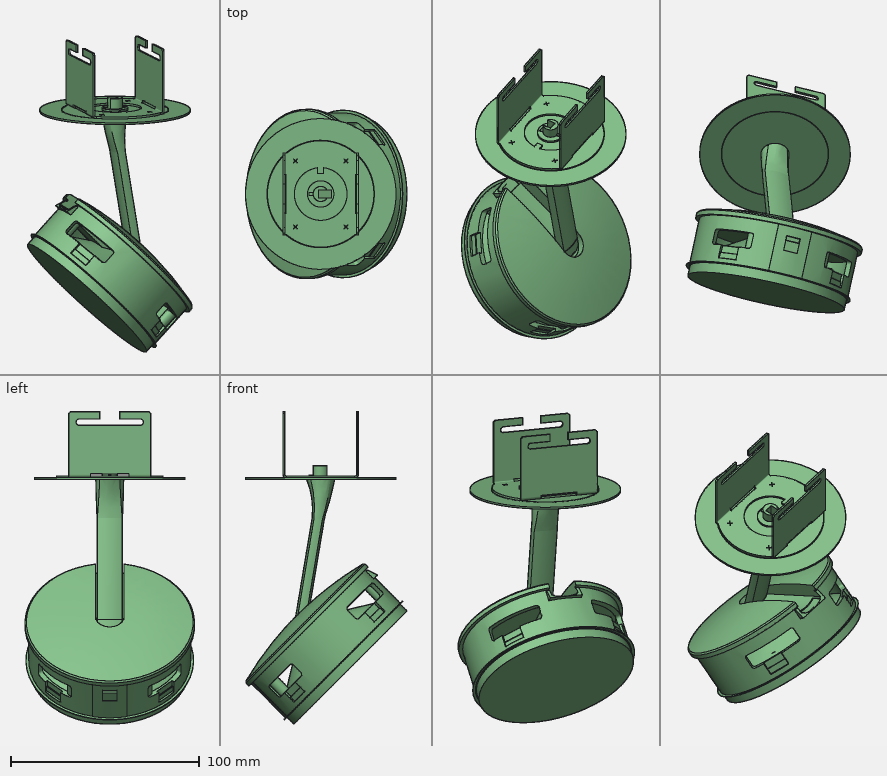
import cadquery as cq
import math

PLATE_DIA = 80.0
PLATE_THICK = 1.0
PLATE_RING_DIA = 57.0
BASE_DIA = 56.5
SHEET = 1.0
BRACKET_WIDTH = 40.0
LEG_WIDTH = 43.5
BRACKET_TOP = 36.0
BEND_RADIUS = 1.5
LEG_CORNER = 1.0
SLOT_HEIGHT = 3.2
SLOT_LENGTH = 35.6
SLOT_BELOW_TOP = 5.5
SLOT_MOUTH = 10.4
BEND_WINDOW = 20.4
BASE_HOLE_DIA = 28.0
KEY_WIDTH = 3.2
KEY_LENGTH = 3.1
MARK_X = 13.4
MARK_Y = 17.5
MARK_LENGTH = 2.8
MARK_WIDTH = 0.15
MARK_DEPTH = 0.2

SWIVEL_DIA = 14.0
BOSS_DIA = 8.0
BOSS_TOP = 7.4
LUG_LENGTH = 6.3
LUG_WIDTH = 1.4
LUG_RISE = 0.5
WIRE_SLOT_WIDTH = 4.4
WIRE_SLOT_LEFT = -1.3
WIRE_SLOT_RIGHT = 5.6
WIRE_SLOT_DEPTH = 8.0

ARM_TILT = 9.5
NECK_DIA = 15.0
NECK_MID_Z = -13.0
NECK_MID_X = -0.2
NECK_MID_CORNER_X = 3.2
NECK_MID_CORNER_Y = 6.0
NECK_MID_HALF_THICK = 4.4
NECK_MID_HALF_WIDTH = 7.1
ARM_START_X = -1.35
ARM_START_Z = -21.0
ARM_LENGTH = 54.4
FOOT_LENGTH = 6.0
FOOT_INSET = 0.3
ARM_HALF_THICK = 3.3
ARM_HALF_WIDTH = 6.8
ARM_CORNER_X = 2.2
ARM_CORNER_Y = 6.6

HEAD_TILT = -45.0
HEAD_X = 15.75
HEAD_Z = -99.71
LIP_RING_DIA = 85.0
BODY_DIA = 86.0
BODY_TOP = 31.1
CAP_DIA = 90.0
CAP_TOP = 34.2
CAP_EDGE = 0.8
DOME_TOP = 39.8
FLANGE_DIA = 89.0
FLANGE_Z = 5.2
FLANGE_THICK = 0.3
CAVITY_DIA = 80.0
CAVITY_FLOOR = 11.0
CAVITY_ROOF = 27.0
CONE_TOP_DIA = 28.0
WEB_BOTTOM = 24.0
PANEL_HALF_WIDTH = 9.2
PANEL_DIA = 86.4
WINDOW_WIDTH = 24.7
WINDOW_EXTENSION = 5.5
WINDOW_BOTTOM = 15.3
WINDOW_TOP = 23.7
WINDOW_CORNER = 1.5
WINDOW_INNER = 33.0
PIN_DIA = 6.0
PIN_RADIUS = 39.0
FRONT_PIN_ANGLE = 15.0
REAR_PIN_ANGLE = 30.0
LATCH_WIDTH = 11.3
LATCH_BOTTOM = 8.2
LATCH_STEP_Z = 11.4
LATCH_FLOOR = 41.1
LATCH_STEP = 0.6
NOTCH_HALF_WIDTH = 3.75
NOTCH_BOTTOM = 18.0
NOTCH_STEP_Z = 23.6
NOTCH_TOP = 26.0
NOTCH_DEPTH = 2.0
NOTCH_STEP_DEPTH = 0.4
CHANNEL_WIDTH = 15.0
CHANNEL_CENTER = -1.5
CHANNEL_START_Z = 33.4
CHANNEL_END_Z = 25.0
CHANNEL_SAG = 1.5
LIP_REACH = 45.0
LIP_BOTTOM = 24.5
LIP_TOP = 30.3
FLOOR_STEP_X = 38.5
FLOOR_STEP_HALF_WIDTH = 6.5
FLOOR_STEP_DEPTH = 0.4


def span_box(x0, x1, y0, y1, z0, z1):
    """Box given by its limits along each axis."""
    return cq.Workplane("XY").box(x1 - x0, y1 - y0, z1 - z0, centered=False).translate((x0, y0, z0))


def disc(dia, z0, z1):
    return cq.Workplane("XY").workplane(offset=z0).circle(dia / 2).extrude(z1 - z0)


def plate():
    groove = disc(PLATE_RING_DIA, PLATE_THICK / 2, PLATE_THICK)
    groove = groove.cut(disc(BASE_DIA, PLATE_THICK / 2, PLATE_THICK))
    return disc(PLATE_DIA, 0, PLATE_THICK).cut(groove)


def bracket():
    half = BRACKET_WIDTH / 2
    half_leg = LEG_WIDTH / 2
    base_top = PLATE_THICK + SHEET
    leg_height = BRACKET_TOP - PLATE_THICK

    channel = span_box(-half, half, -half_leg, half_leg, PLATE_THICK, BRACKET_TOP)
    channel = channel.edges("|Y and <Z").fillet(BEND_RADIUS)
    channel = channel.edges("|X and >Z").chamfer(LEG_CORNER)
    inside = span_box(-half + SHEET, half - SHEET, -half_leg, half_leg, base_top, BRACKET_TOP)
    inside = inside.edges("|Y and <Z").fillet(BEND_RADIUS - SHEET)
    channel = channel.cut(inside)

    straight = half - BEND_RADIUS
    rounded = disc(BASE_DIA, PLATE_THICK, base_top)
    rounded = rounded.intersect(span_box(-straight, straight, -BASE_DIA, BASE_DIA, 0, leg_height))
    shape = channel.union(rounded)

    slot = (
        cq.Workplane("YZ")
        .center(0, BRACKET_TOP - SLOT_BELOW_TOP)
        .slot2D(SLOT_LENGTH, SLOT_HEIGHT)
        .extrude(half, both=True)
    )
    mouth = span_box(-half, half, -SLOT_MOUTH / 2, SLOT_MOUTH / 2, BRACKET_TOP - SLOT_BELOW_TOP, BRACKET_TOP)
    shape = shape.cut(slot).cut(mouth)
    half_window = BEND_WINDOW / 2
    for x0, x1 in ((-half, -straight), (straight, half)):
        shape = shape.cut(span_box(x0, x1, -half_window, half_window, PLATE_THICK, base_top + SHEET))

    hole = disc(BASE_HOLE_DIA, PLATE_THICK, base_top)
    hole_edge = BASE_HOLE_DIA / 2
    key = span_box(-KEY_WIDTH / 2, KEY_WIDTH / 2, hole_edge - KEY_LENGTH, hole_edge, PLATE_THICK, base_top)
    shape = shape.cut(hole.cut(key))

    marks = cq.Workplane("XY").workplane(offset=base_top - MARK_DEPTH)
    marks = marks.rect(2 * MARK_X, 2 * MARK_Y, forConstruction=True).vertices()
    for angle in (45, -45):
        stroke = cq.Sketch().rect(MARK_LENGTH, MARK_WIDTH, angle=angle)
        shape = shape.cut(marks.placeSketch(stroke).extrude(SHEET))
    return shape


def swivel():
    base_top = PLATE_THICK + SHEET
    lug = span_box(-LUG_LENGTH, 0, -LUG_WIDTH / 2, LUG_WIDTH / 2, PLATE_THICK, base_top + LUG_RISE)
    return disc(SWIVEL_DIA, 0, base_top).union(disc(BOSS_DIA, 0, BOSS_TOP)).union(lug)


def wire_slot():
    """Tapering wire passage from the boss down into the neck."""
    half = WIRE_SLOT_WIDTH / 2
    outline = [
        (WIRE_SLOT_LEFT, BOSS_TOP),
        (WIRE_SLOT_RIGHT, BOSS_TOP),
        (WIRE_SLOT_RIGHT, PLATE_THICK + SHEET),
        (WIRE_SLOT_LEFT, -WIRE_SLOT_DEPTH),
    ]
    return cq.Workplane("XZ").polyline(outline).close().extrude(half, both=True)


def arm_section(workplane, corner_x, corner_y, half_thick, half_width):
    """Closed outline of four arcs meeting at (+-corner_x, +-corner_y)."""
    return (
        workplane.moveTo(-corner_x, -corner_y)
        .threePointArc((0, -half_width), (corner_x, -corner_y))
        .threePointArc((half_thick, 0), (corner_x, corner_y))
        .threePointArc((0, half_width), (-corner_x, corner_y))
        .threePointArc((-half_thick, 0), (-corner_x, -corner_y))
        .close()
    )


def arm():
    tilt = math.radians(ARM_TILT)
    axis = (math.sin(tilt), 0, math.cos(tilt))
    arm_plane = cq.Plane(
        origin=(ARM_START_X, 0, ARM_START_Z), xDir=(math.cos(tilt), 0, -math.sin(tilt)), normal=axis
    )
    arm_sizes = (ARM_CORNER_X, ARM_CORNER_Y, ARM_HALF_THICK, ARM_HALF_WIDTH)
    bar = arm_section(cq.Workplane(arm_plane), *arm_sizes).extrude(-ARM_LENGTH)

    neck_radius = NECK_DIA / 2
    neck_corner = neck_radius / math.sqrt(2)
    mid_plane = cq.Plane(origin=(NECK_MID_X, 0, NECK_MID_Z), xDir=arm_plane.xDir, normal=axis)
    neck_sizes = (neck_corner, neck_corner, neck_radius, neck_radius)
    mid_sizes = (NECK_MID_CORNER_X, NECK_MID_CORNER_Y, NECK_MID_HALF_THICK, NECK_MID_HALF_WIDTH)
    wires = [
        arm_section(cq.Workplane("XY"), *neck_sizes).val(),
        arm_section(cq.Workplane(mid_plane), *mid_sizes).val(),
        arm_section(cq.Workplane(arm_plane), *arm_sizes).val(),
    ]
    neck = cq.Workplane(cq.Solid.makeLoft(wires))

    foot_sizes = (ARM_CORNER_X, ARM_CORNER_Y, ARM_HALF_THICK - FOOT_INSET, ARM_HALF_WIDTH)
    foot = arm_section(cq.Workplane(arm_plane), *foot_sizes).extrude(-ARM_LENGTH - FOOT_LENGTH)
    return bar.union(neck).union(foot)


def head_body():
    """Turned body with thin flange, cap and dome, plus the raised side panel."""
    cap_flat = CAP_DIA / 2 - CAP_EDGE
    outline = (
        cq.Workplane("XZ")
        .moveTo(0, 0)
        .lineTo(LIP_RING_DIA / 2, 0)
        .lineTo(LIP_RING_DIA / 2, FLANGE_Z)
        .lineTo(FLANGE_DIA / 2, FLANGE_Z)
        .lineTo(FLANGE_DIA / 2, FLANGE_Z + FLANGE_THICK)
        .lineTo(BODY_DIA / 2, FLANGE_Z + FLANGE_THICK)
        .lineTo(BODY_DIA / 2, BODY_TOP)
        .lineTo(CAP_DIA / 2, BODY_TOP)
        .lineTo(CAP_DIA / 2, CAP_TOP - CAP_EDGE)
        .lineTo(cap_flat, CAP_TOP)
    )
    rise = DOME_TOP - CAP_TOP
    dome_radius = (cap_flat**2 + rise**2) / (2 * rise)
    mid_x = cap_flat / 2
    mid_z = DOME_TOP - dome_radius + math.sqrt(dome_radius**2 - mid_x**2)
    turned = outline.threePointArc((mid_x, mid_z), (0, DOME_TOP)).close().revolve(360, (0, 0), (0, 1))

    reach = PANEL_DIA / 2
    strip = span_box(-reach, 0, -PANEL_HALF_WIDTH, PANEL_HALF_WIDTH, FLANGE_Z, BODY_TOP)
    return turned.union(strip.intersect(disc(PANEL_DIA, FLANGE_Z, BODY_TOP)))


def head_cavity():
    """Ring-shaped space around the central reflector cone, clear of the web that carries the arm channel."""
    reach = CAVITY_DIA / 2
    height = CAVITY_ROOF - CAVITY_FLOOR
    cone = cq.Workplane(cq.Solid.makeCone(reach, CONE_TOP_DIA / 2, height, pnt=(0, 0, CAVITY_FLOOR)))
    web = span_box(0, reach, -PANEL_HALF_WIDTH, PANEL_HALF_WIDTH, WEB_BOTTOM, CAVITY_ROOF)
    return disc(CAVITY_DIA, CAVITY_FLOOR, CAVITY_ROOF).cut(cone).cut(web)


def window_cutter(extra_right, extra_left):
    """Window through the +X wall, widened towards -Y and +Y, with the stepped latch recess below it."""
    outer = CAP_DIA / 2
    half = WINDOW_WIDTH / 2
    window = span_box(WINDOW_INNER, outer, -half - extra_right, half + extra_left, WINDOW_BOTTOM, WINDOW_TOP)
    window = window.edges("|X").fillet(WINDOW_CORNER)
    half_latch = LATCH_WIDTH / 2
    upper = span_box(LATCH_FLOOR, outer, -half_latch, half_latch, LATCH_STEP_Z, WINDOW_BOTTOM)
    lower = span_box(LATCH_FLOOR + LATCH_STEP, outer, -half_latch, half_latch, LATCH_BOTTOM, LATCH_STEP_Z)
    return window.union(upper).union(lower)


def arm_channel():
    """Round-ended channel with a trough floor sloping down towards the rim."""
    half = CHANNEL_WIDTH / 2
    reach = CAP_DIA
    walls = span_box(CHANNEL_CENTER, reach, -half, half, 0, DOME_TOP)
    walls = walls.union(disc(CHANNEL_WIDTH, 0, DOME_TOP).translate((CHANNEL_CENTER, 0, 0)))
    slope = math.atan2(CHANNEL_START_Z - CHANNEL_END_Z, LIP_REACH)
    trough = (
        cq.Workplane("YZ")
        .moveTo(-half, CHANNEL_SAG)
        .threePointArc((0, 0), (half, CHANNEL_SAG))
        .lineTo(half, DOME_TOP)
        .lineTo(-half, DOME_TOP)
        .close()
        .extrude(reach, both=True)
        .rotate((0, 0, 0), (0, 1, 0), math.degrees(slope))
        .translate((0, 0, CHANNEL_START_Z))
    )
    step = span_box(
        FLOOR_STEP_X, reach, -FLOOR_STEP_HALF_WIDTH, FLOOR_STEP_HALF_WIDTH, 0, CHANNEL_START_Z
    )
    step = step.intersect(trough.translate((0, 0, -FLOOR_STEP_DEPTH)))
    return walls.intersect(trough).union(step)


def channel_lip():
    """Wedge under the open end of the channel, widest at its lower edge."""
    body_edge = BODY_DIA / 2
    outline = [
        (CAVITY_DIA / 2, LIP_BOTTOM),
        (LIP_REACH, LIP_BOTTOM),
        (body_edge, LIP_TOP),
        (CAVITY_DIA / 2, LIP_TOP),
    ]
    return cq.Workplane("XZ").polyline(outline).close().extrude(PANEL_HALF_WIDTH, both=True)


def lamp_head():
    head = head_body().cut(head_cavity())
    head = head.union(channel_lip())

    pin = disc(PIN_DIA, WINDOW_BOTTOM, WINDOW_TOP).translate((PIN_RADIUS, 0, 0))
    pin = pin.intersect(disc(BODY_DIA, 0, BODY_TOP))
    windows = (
        (45, window_cutter(WINDOW_EXTENSION, 0)),
        (135, window_cutter(0, 0)),
        (225, window_cutter(0, 0)),
        (315, window_cutter(0, WINDOW_EXTENSION)),
    )
    for angle, cutter in windows:
        head = head.cut(cutter.rotate((0, 0, 0), (0, 0, 1), angle))
    for angle in (FRONT_PIN_ANGLE, -FRONT_PIN_ANGLE, 180 - REAR_PIN_ANGLE, 180 + REAR_PIN_ANGLE):
        head = head.union(pin.rotate((0, 0, 0), (0, 0, 1), angle))

    panel = PANEL_DIA / 2
    for depth, bottom in ((NOTCH_DEPTH, NOTCH_STEP_Z), (NOTCH_STEP_DEPTH, NOTCH_BOTTOM)):
        notch = span_box(-panel, depth - panel, -NOTCH_HALF_WIDTH, NOTCH_HALF_WIDTH, bottom, NOTCH_TOP)
        head = head.cut(notch)
    head = head.cut(arm_channel())
    return head.rotate((0, 0, 0), (0, 1, 0), HEAD_TILT).translate((HEAD_X, 0, HEAD_Z))


mount = plate().union(bracket()).union(swivel())
result = mount.union(arm()).cut(wire_slot()).union(lamp_head())